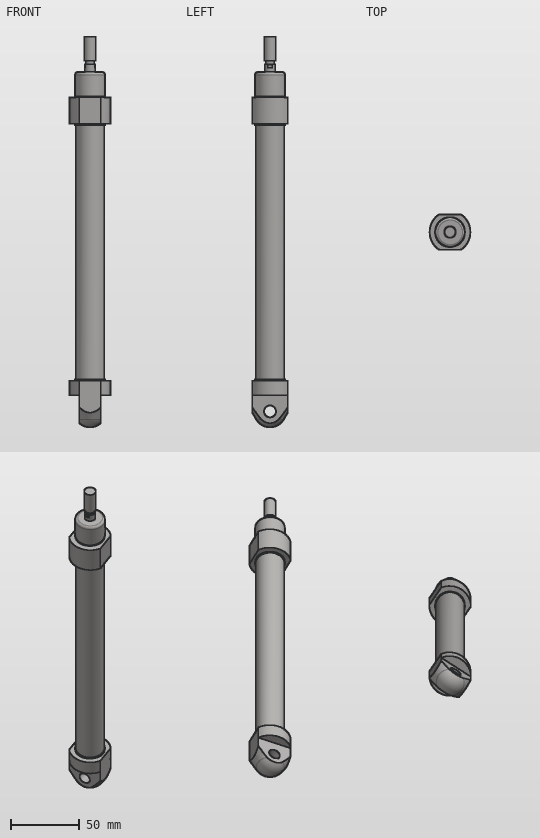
import cadquery as cq
import math

total_length = 285.8
block_width = 30.0
block_depth = 26.0

rear_block_bottom = 23.5
rear_block_top = 34.3
front_block_bottom = 222.0
front_block_top = 241.5
nose_top = 260.0

tube_diameter = 21.1
nose_diameter = 22.0
nose_fillet = 2.0
collar_diameter = 22.0
collar_height = 1.0
neck_diameter = 21.1
neck_height = 1.0

tang_width = 16.0
tang_end_radius = 11.7
tang_cone_angle = 60.0
pivot_diameter = 8.5

rod_diameter = 8.0
thread_diameter = 8.5
undercut_diameter = 6.3
thread_length = 17.7
undercut_length = 2.3
rod_depth = nose_top - front_block_bottom
wrench_width = 7.5
wrench_flat_length = 2.0
wrench_flat_gap = 0.5

undercut_top = total_length - thread_length
undercut_bottom = undercut_top - undercut_length


def cylinder(diameter, bottom, top):
    return cq.Workplane("XY").workplane(offset=bottom).circle(diameter / 2).extrude(top - bottom)


def flatted_block(bottom, top):
    """Block with bulged sides and two flats, each as wide as the tang, facing -Y and +Y."""
    corner_x = tang_width / 2
    corner_y = block_depth / 2
    side_x = block_width / 2
    return (
        cq.Workplane("XY")
        .workplane(offset=bottom)
        .moveTo(-corner_x, -corner_y)
        .lineTo(corner_x, -corner_y)
        .threePointArc((side_x, 0), (corner_x, corner_y))
        .lineTo(-corner_x, corner_y)
        .threePointArc((-side_x, 0), (-corner_x, -corner_y))
        .close()
        .extrude(top - bottom)
    )


def rear_tang():
    """Flat tang with a domed, coned end and a cross hole along X."""
    slope = math.radians(tang_cone_angle)
    block_radius = math.hypot(tang_width, block_depth) / 2
    tangent_radius = tang_end_radius * math.sin(slope)
    tangent_height = tang_end_radius * (1 - math.cos(slope))
    cone_top = tangent_height + (block_radius - tangent_radius) * math.tan(slope)
    arc_middle = (
        tang_end_radius * math.sin(slope / 2),
        tang_end_radius * (1 - math.cos(slope / 2)),
    )
    envelope = (
        cq.Workplane("XZ")
        .moveTo(0, 0)
        .threePointArc(arc_middle, (tangent_radius, tangent_height))
        .lineTo(block_radius, cone_top)
        .lineTo(block_radius, rear_block_bottom)
        .lineTo(0, rear_block_bottom)
        .close()
        .revolve(360, (0, 0), (0, 1))
    )
    slab = cq.Workplane("XY").box(
        tang_width, block_depth, rear_block_bottom, centered=(True, True, False)
    )
    pivot_hole = (
        cq.Workplane("YZ")
        .center(0, tang_end_radius)
        .circle(pivot_diameter / 2)
        .extrude(tang_width, both=True)
    )
    return envelope.intersect(slab).cut(pivot_hole)


def make_housing():
    neck_top = front_block_top + neck_height
    neck = cylinder(neck_diameter, front_block_top, neck_top)
    nose = cylinder(nose_diameter, neck_top, nose_top).faces(">Z").edges().fillet(nose_fillet)
    rod_bore = cylinder(rod_diameter, nose_top - rod_depth, nose_top)
    return (
        rear_tang()
        .union(flatted_block(rear_block_bottom, rear_block_top))
        .union(cylinder(tube_diameter, rear_block_top, front_block_bottom))
        .union(flatted_block(front_block_bottom, front_block_top))
        .union(cylinder(collar_diameter, rear_block_top, rear_block_top + collar_height))
        .union(cylinder(collar_diameter, front_block_bottom - collar_height, front_block_bottom))
        .union(neck)
        .union(nose)
        .cut(rod_bore)
    )


def make_rod():
    shank = cylinder(rod_diameter, nose_top - rod_depth, undercut_bottom)
    wrench_flat_middle = undercut_bottom - wrench_flat_gap - wrench_flat_length / 2
    for side in (-1, 1):
        flat_cutter = cq.Workplane("XY").box(rod_diameter, rod_diameter, wrench_flat_length)
        shank = shank.cut(
            flat_cutter.translate(
                (side * (wrench_width + rod_diameter) / 2, 0, wrench_flat_middle)
            )
        )
    return (
        shank
        .union(cylinder(undercut_diameter, undercut_bottom, undercut_top))
        .union(cylinder(thread_diameter, undercut_top, total_length))
    )


housing = make_housing()
rod = make_rod()
result = cq.Compound.makeCompound([housing.val(), rod.val()])